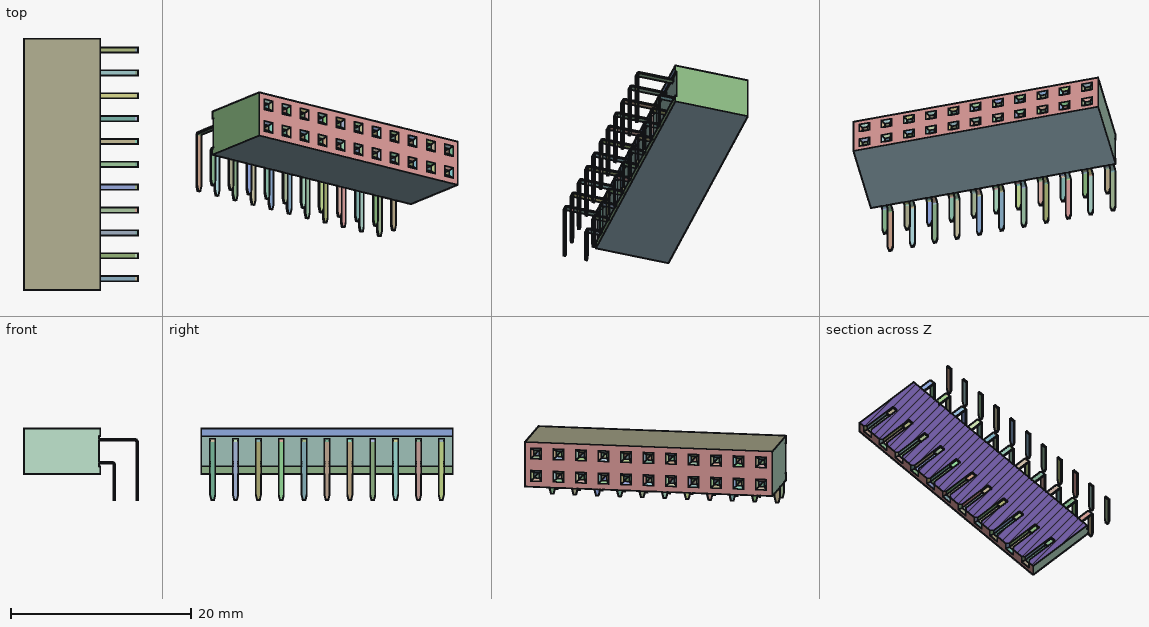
import cadquery as cq

pitch = 2.54
columns = 11
rows = 2

body_length = 8.5
body_width = columns * pitch
body_height = rows * pitch
lip_height = 0.85
recess_depth = 0.16

socket_mouth = 1.2
socket_throat = 0.6
funnel_depth = 0.3
socket_depth = body_length / 2

pin_width = 0.6
pin_thickness = 0.2
pin_exposed_length = 1.0
pin_start = socket_depth - pin_exposed_length
bend_outer_radius = 0.35
bend_inner_radius = bend_outer_radius - pin_thickness
pin_tip_z = -2.9
tip_length = 0.6
tip_width = 0.3
far_leg_outer_x = 12.67


def column_y(column):
    return (column - (columns - 1) / 2) * pitch


def row_z(row):
    return (row + 0.5) * pitch


def make_housing():
    """Block with a shallow full-width channel across its rear face."""
    body = cq.Workplane("XY").box(body_length, body_width, body_height, centered=(False, True, False))
    channel = (
        cq.Workplane("XY")
        .box(recess_depth, body_width, body_height - 2 * lip_height, centered=(False, True, False))
        .translate((body_length - recess_depth, 0, lip_height))
    )
    return body.cut(channel)


def make_socket():
    """Tapered mouth leading into a straight throat, centred on the X axis."""
    funnel = (
        cq.Workplane("YZ")
        .rect(socket_mouth, socket_mouth)
        .workplane(offset=funnel_depth)
        .rect(socket_throat, socket_throat)
        .loft(ruled=True)
    )
    throat = cq.Workplane("YZ").rect(socket_throat, socket_throat).extrude(socket_depth)
    return funnel.union(throat)


def make_pin(row):
    """Flat strip bent down through a right angle, with its tip tapered in width."""
    top_z = row_z(row) + pin_thickness / 2
    bottom_z = top_z - pin_thickness
    outer_x = far_leg_outer_x - (rows - 1 - row) * pitch
    inner_x = outer_x - pin_thickness
    strip = (
        cq.Workplane("XZ")
        .moveTo(pin_start, top_z)
        .lineTo(outer_x - bend_outer_radius, top_z)
        .radiusArc((outer_x, top_z - bend_outer_radius), bend_outer_radius)
        .lineTo(outer_x, pin_tip_z)
        .lineTo(inner_x, pin_tip_z)
        .lineTo(inner_x, bottom_z - bend_inner_radius)
        .radiusArc((inner_x - bend_inner_radius, bottom_z), -bend_inner_radius)
        .lineTo(pin_start, bottom_z)
        .close()
        .extrude(pin_width / 2, both=True)
    )
    width_outline = (
        cq.Workplane("YZ")
        .moveTo(-pin_width / 2, top_z)
        .lineTo(-pin_width / 2, pin_tip_z + tip_length)
        .lineTo(-tip_width / 2, pin_tip_z)
        .lineTo(tip_width / 2, pin_tip_z)
        .lineTo(pin_width / 2, pin_tip_z + tip_length)
        .lineTo(pin_width / 2, top_z)
        .close()
        .extrude(far_leg_outer_x)
    )
    return strip.intersect(width_outline)


housing = make_housing()
socket = make_socket()
pins = [make_pin(row) for row in range(rows)]
result = housing
for row in range(rows):
    for column in range(columns):
        result = result.cut(socket.translate((0, column_y(column), row_z(row))))
        result = result.union(pins[row].translate((0, column_y(column), 0)))